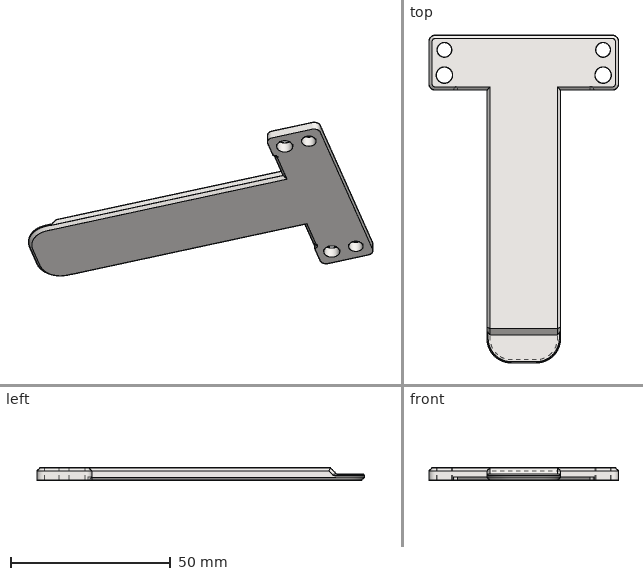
import cadquery as cq
import math

LENGTH = 102.5
BAR_WIDTH = 59.4
BAR_DEPTH = 17.2
BAR_CORNER_RADIUS = 2.0
THICKNESS = 4.0
EDGE_CHAMFER = 1.0

STEM_WIDTH = 23.1
TIP_THICKNESS = 1.9
TIP_RADIUS = 7.7
TIP_TOP_CHAMFER = 0.4
RAMP_START = 91.8
RAMP_BASE_Z = TIP_THICKNESS / 2

HOLE_X = 24.8
REAR_HOLE_DIAMETER = 4.5
REAR_HOLE_Y = -4.6
FRONT_HOLE_DIAMETER = 5.0
FRONT_HOLE_Y = -12.5

RELIEF_HALF_LENGTH = 21.9
RELIEF_END_RADIUS = 1.2


def make_bar():
    """Rounded crossbar at full thickness."""
    return (
        cq.Workplane("XY")
        .box(BAR_WIDTH, BAR_DEPTH, THICKNESS, centered=(True, True, False))
        .translate((0, -BAR_DEPTH / 2, 0))
        .edges("|Z")
        .fillet(BAR_CORNER_RADIUS)
    )


def make_ramped_stem():
    """Thick stem whose end slopes down at 45 degrees into the tip."""
    ramp_run = THICKNESS - RAMP_BASE_Z
    return (
        cq.Workplane("YZ")
        .moveTo(-BAR_DEPTH / 2, RAMP_BASE_Z)
        .lineTo(-BAR_DEPTH / 2, THICKNESS)
        .lineTo(-RAMP_START, THICKNESS)
        .lineTo(-RAMP_START - ramp_run, RAMP_BASE_Z)
        .close()
        .extrude(STEM_WIDTH / 2, both=True)
    )


def chamfer_upper_edges(body):
    """Bevel the top outline and the ramp's sides, leaving the crest of the ramp sharp."""
    top_outline = body.faces(">Z").edges("not <Y")
    ramp_sides = body.faces("<Y").edges("<X or >X")
    return top_outline.add(ramp_sides).chamfer(EDGE_CHAMFER)


def make_base_plate():
    """Thin layer under the whole stem, beveled below and rounded at the tip."""
    plate = (
        cq.Workplane("XY")
        .box(STEM_WIDTH, LENGTH - BAR_DEPTH / 2, TIP_THICKNESS, centered=(True, False, False))
        .translate((0, -LENGTH, 0))
        .edges("|Z and <Y")
        .fillet(TIP_RADIUS)
    )
    plate = plate.faces("<Z").edges("not >Y").chamfer(EDGE_CHAMFER)
    return plate.faces(">Z").edges("not >Y").chamfer(TIP_TOP_CHAMFER)


def make_bar_relief():
    """Beveled cut under the bar's front edge, with rounded ends."""
    straight_half_length = RELIEF_HALF_LENGTH - RELIEF_END_RADIUS
    relief = (
        cq.Workplane("YZ")
        .moveTo(-BAR_DEPTH, 0)
        .lineTo(-BAR_DEPTH + EDGE_CHAMFER, 0)
        .lineTo(-BAR_DEPTH, EDGE_CHAMFER)
        .close()
        .extrude(straight_half_length, both=True)
    )
    arc_offset = RELIEF_END_RADIUS * math.sqrt(0.5)
    for side in (-1, 1):
        end = (
            cq.Workplane("XY")
            .moveTo(side * straight_half_length, -BAR_DEPTH)
            .lineTo(side * RELIEF_HALF_LENGTH, -BAR_DEPTH)
            .threePointArc(
                (side * (straight_half_length + arc_offset), -BAR_DEPTH + arc_offset),
                (side * straight_half_length, -BAR_DEPTH + RELIEF_END_RADIUS),
            )
            .close()
            .extrude(EDGE_CHAMFER)
        )
        relief = relief.union(end)
    return relief


def drill_holes(body):
    """One rear and one front through hole at each end of the crossbar."""
    for y, diameter in ((REAR_HOLE_Y, REAR_HOLE_DIAMETER), (FRONT_HOLE_Y, FRONT_HOLE_DIAMETER)):
        holes = (
            cq.Workplane("XY")
            .pushPoints([(-HOLE_X, y), (HOLE_X, y)])
            .circle(diameter / 2)
            .extrude(THICKNESS)
        )
        body = body.cut(holes)
    return body


upper_body = make_bar().cut(make_bar_relief()).union(make_ramped_stem())
result = drill_holes(chamfer_upper_edges(upper_body).union(make_base_plate()))